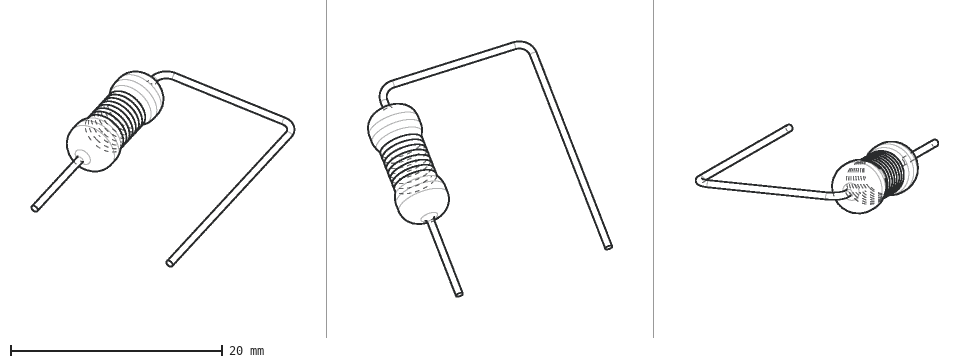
import cadquery as cq
import math

lead_diameter = 0.7
lead_pitch = 15.0
overall_length = 23.35
bend_radius = 1.4

body_middle_y = 14.6
body_diameter = 5.0
waist_diameter = 4.25
raised_band_diameter = 4.27
waist_length = 3.97
band_count = 7
band_width = waist_length / band_count
shoulder_length = 1.45
cap_land_length = 0.82
flare_radius = 0.5

lead_radius = lead_diameter / 2
body_radius = body_diameter / 2
waist_radius = waist_diameter / 2
crossbar_y = overall_length - lead_radius

waist_half = waist_length / 2
land_start = waist_half + shoulder_length
land_end = land_start + cap_land_length
flare_base_radius = lead_radius + flare_radius
cap_radius = body_radius - flare_base_radius
cap_end = land_end + cap_radius
flare_end = cap_end + flare_radius
quarter = math.sin(math.radians(45))


def make_body_end():
    """Upper end of the body: S-shaped shoulder, round cap and flared lead exit."""
    shoulder_middle = ((waist_radius + body_radius) / 2, waist_half + shoulder_length / 2)
    cap_middle = (flare_base_radius + cap_radius * quarter, land_end + cap_radius * quarter)
    flare_middle = (flare_base_radius - flare_radius * quarter, flare_end - flare_radius * quarter)
    return (
        cq.Workplane("XY")
        .moveTo(body_radius, land_end)
        .lineTo(body_radius, land_start)
        .tangentArcPoint(shoulder_middle, relative=False)
        .tangentArcPoint((waist_radius, waist_half), relative=False)
        .lineTo(0, waist_half)
        .lineTo(0, flare_end)
        .lineTo(lead_radius, flare_end)
        .threePointArc(flare_middle, (flare_base_radius, cap_end))
        .threePointArc(cap_middle, (body_radius, land_end))
        .close()
        .revolve(360, (0, 0), (0, 1))
    )


def make_band(index):
    """One colour band of the waist; every second one is raised, starting with the first."""
    diameter = raised_band_diameter if index % 2 == 0 else waist_diameter
    start = index * band_width - waist_half
    return (
        cq.Workplane("XZ", origin=(0, start, 0))
        .circle(diameter / 2)
        .extrude(-band_width)
    )


def make_body():
    end = make_body_end()
    body = make_band(0)
    for index in range(1, band_count):
        body = body.union(make_band(index))
    body = body.union(end).union(end.mirror("XZ"))
    return body.translate((0, body_middle_y, 0))


def make_lead():
    """One wire through the body, bent twice to return parallel to the body axis."""
    bend_y = crossbar_y - bend_radius
    bend_inset = bend_radius * (1 - quarter)
    path = (
        cq.Workplane("XY")
        .lineTo(0, bend_y)
        .threePointArc((bend_inset, crossbar_y - bend_inset), (bend_radius, crossbar_y))
        .lineTo(lead_pitch - bend_radius, crossbar_y)
        .threePointArc((lead_pitch - bend_inset, crossbar_y - bend_inset), (lead_pitch, bend_y))
        .lineTo(lead_pitch, 0)
    )
    return cq.Workplane("XZ").circle(lead_radius).sweep(path)


result = make_body().union(make_lead())